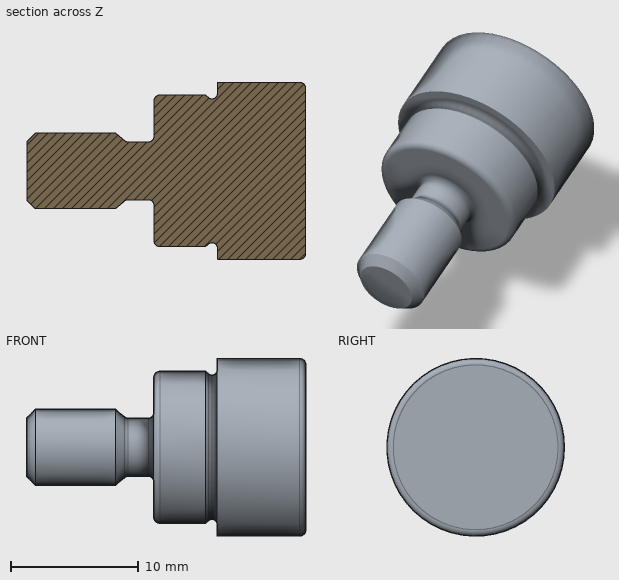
import cadquery as cq
import math

total_length = 22.0
head_length = 7.0
head_radius = 14.0 / 2
head_round = 0.5

collar_start = 10.0
collar_radius = 12.0 / 2
collar_round = 0.5
groove_start = 14.08

stud_radius = 6.0 / 2
stud_thread_length = 7.0
tip_chamfer = 0.7

neck_depth = 0.7
groove_depth = 0.3
undercut_fillet = 0.4
undercut_angle = math.radians(40)

head_start = total_length - head_length
neck_radius = stud_radius - neck_depth
groove_radius = collar_radius - groove_depth

blend_length = undercut_fillet * math.sin(undercut_angle)
blend_height = undercut_fillet * (1 - math.cos(undercut_angle))


def round_corner(profile, start, end, center, middle_angle):
    """Add an arc of a given center to the profile; middle_angle is in degrees."""
    radius = math.dist(start, center)
    angle = math.radians(middle_angle)
    middle = (center[0] + radius * math.cos(angle), center[1] + radius * math.sin(angle))
    return profile.threePointArc(middle, end)


def add_undercut(profile, start, floor_radius, depth, shoulder):
    """Continue the profile from the edge at start, along the undercut, to the shoulder face."""
    slope_length = (depth - blend_height) / math.tan(undercut_angle)
    slope_end = (start + slope_length, floor_radius + blend_height)
    floor_start = (slope_end[0] + blend_length, floor_radius)
    floor_end = (shoulder - undercut_fillet, floor_radius)
    fillet_end = (shoulder, floor_radius + undercut_fillet)
    arc_height = floor_radius + undercut_fillet

    profile = profile.lineTo(*slope_end)
    blend_middle = -90 - math.degrees(undercut_angle) / 2
    profile = round_corner(profile, slope_end, floor_start, (floor_start[0], arc_height), blend_middle)
    profile = profile.lineTo(*floor_end)
    return round_corner(profile, floor_end, fillet_end, (floor_end[0], arc_height), -45)


profile = (
    cq.Workplane("XY")
    .lineTo(0, stud_radius - tip_chamfer)
    .lineTo(tip_chamfer, stud_radius)
    .lineTo(stud_thread_length, stud_radius)
)
profile = add_undercut(profile, stud_thread_length, neck_radius, neck_depth, collar_start)

collar_face_end = (collar_start, collar_radius - collar_round)
collar_side_start = (collar_start + collar_round, collar_radius)
collar_round_center = (collar_side_start[0], collar_face_end[1])
profile = profile.lineTo(*collar_face_end)
profile = round_corner(profile, collar_face_end, collar_side_start, collar_round_center, 135)
profile = profile.lineTo(groove_start, collar_radius)
profile = add_undercut(profile, groove_start, groove_radius, groove_depth, head_start)

head_side_end = (total_length - head_round, head_radius)
head_face_start = (total_length, head_radius - head_round)
head_round_center = (head_side_end[0], head_face_start[1])
profile = profile.lineTo(head_start, head_radius).lineTo(*head_side_end)
profile = round_corner(profile, head_side_end, head_face_start, head_round_center, 45)
profile = profile.lineTo(total_length, 0).close()

result = profile.revolve(360, (0, 0, 0), (1, 0, 0))